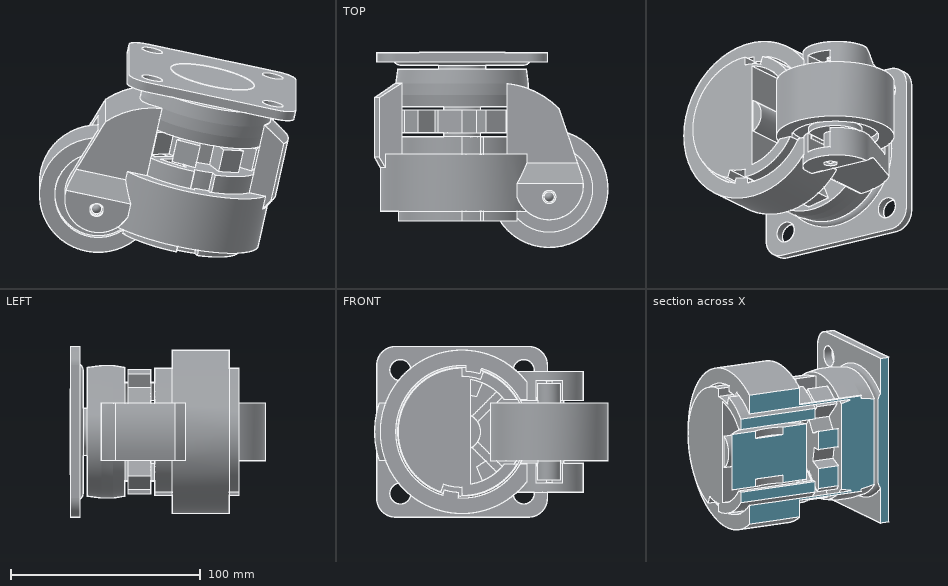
import cadquery as cq
import math


plate_side = 90.0
plate_corner = 10.1
plate_drop = 5.0
hole_spacing = 64.9
hole_diameter = 11.0
rivet_diameter = 45.0
rivet_height = 0.2
dish_radius = 35.7
dish_drop = 6.8
dish_flat_radius = 32.2

neck_radius = 12.48
drum_drops = (8.7, 16.4, 22.6, 28.6)
drum_radius = 34.9
drum_end_radius = 33.9

stem_radius = 9.7
stem_drop = 87.9
nut_top = 30.2
nut_bottom = 42.3
tooth_count = 8
tooth_tip_radius = 32.8
tooth_root_radius = 20.0

ring_top = 53.5
ring_bottom = 83.6
ring_radius = 43.0
ring_bore_radius = 34.9
key_inner_radius = 32.0
key_end_angle = 72.9
key_edge_offset = 2.0

foot_top = 44.3
foot_bottom = 88.8
foot_radius = 33.6
keyway_radius = 29.3
keyway_end_angle = 70.5
pocket_radius = 27.9
pocket_edge = 4.5
rib_width = 4.2
rib_height = 4.9
rib_angle = 45
wheel_gap = 33.9

bracket_width = 30.2
bracket_radius = 46.1
bracket_drops = (16.0, 23.7, 55.1, 60.6)

wheel_x = 45.9
wheel_drop = 71.7
wheel_radius = 31.0
wheel_width = 30.5
recess_diameter = 45.7
recess_depth = 4.0
hub_diameter = 28.4
hub_below_face = 0.7
axle_diameter = 12.0
axle_length = 50.7

arm_inner = 16.5
arm_upper_outer = 26.2
arm_lower_outer = 31.8
bevel_start = 58.0
bevel_end = 69.0
arm_left = 23.6
arm_top = 16.4
arm_arc_middle = (40.0, 21.3)
arm_shoulder = (51.1, 29.6)
arm_end_drop = 70.1
arm_end_radius = 18.0
web_bottom = 36.9
slot_width = 14.1
slot_ceiling = 27.0

screw_drop = 76.0
screw_hole_diameter = 7.0
screw_hole_depth = 3.0
screw_ball_radius = 2.7
screw_tip_diameter = 3.0
screw_tip_overlap = 1.2


def at_drop(drop):
    """Plane across the swivel axis, facing away from the plate (local x = X, local y = Z)."""
    return cq.Workplane("XZ").workplane(offset=drop)


def disc(radius, top, bottom):
    return at_drop(top).circle(radius).extrude(bottom - top)


def polar(radius, degrees):
    angle = math.radians(degrees)
    return (radius * math.cos(angle), radius * math.sin(angle))


def turned(points):
    """Solid of revolution about the swivel axis from (radius, drop) points."""
    outline = [(radius, -drop) for radius, drop in points]
    return cq.Workplane("XY").polyline(outline).close().revolve(360, (0, 0, 0), (0, 1, 0))


def half_turn_pair(shape):
    return shape.union(shape.rotate((0, 0, 0), (0, 1, 0), 180))


def sideways(x, drop, z):
    """Plane parallel to the wheel's faces, centred at the given place."""
    return cq.Workplane("XY", origin=(x, -drop, z))


def mounting_plate():
    plate = at_drop(0).rect(plate_side, plate_side).extrude(plate_drop).edges("|Y").fillet(plate_corner)
    plate = plate.union(disc(rivet_diameter / 2, -rivet_height, plate_drop))
    dish = (
        cq.Workplane("XY")
        .moveTo(0, -dish_drop)
        .lineTo(dish_flat_radius, -dish_drop)
        .tangentArcPoint((dish_radius, -plate_drop), relative=False)
        .lineTo(0, -plate_drop)
        .close()
        .revolve(360, (0, 0, 0), (0, 1, 0))
    )
    holes = at_drop(0).rect(hole_spacing, hole_spacing, forConstruction=True).vertices()
    holes = holes.circle(hole_diameter / 2).extrude(plate_drop)
    return plate.union(dish).cut(holes)


def swivel_drum():
    top, bulge_top, bulge_bottom, bottom = drum_drops
    drum = turned([
        (0, top),
        (drum_end_radius, top),
        (drum_radius, bulge_top),
        (drum_radius, bulge_bottom),
        (drum_end_radius, bottom),
        (0, bottom),
    ])
    return drum.union(disc(neck_radius, plate_drop, top))


def levelling_nut():
    pitch = 360 / tooth_count
    outline = []
    for tooth in range(tooth_count):
        start = tooth * pitch
        end = start + pitch / 2
        outline += [
            polar(tooth_root_radius, start),
            polar(tooth_tip_radius, start),
            polar(tooth_tip_radius, end),
            polar(tooth_root_radius, end),
        ]
    return at_drop(nut_top).polyline(outline).close().extrude(nut_bottom - nut_top)


def sector(start_points, end_angle, top, bottom):
    """Wedge between the edge through start_points and a radial edge at end_angle."""
    outline = start_points + [polar(2 * ring_radius, end_angle), (0, 0)]
    return at_drop(top).polyline(outline).close().extrude(bottom - top)


def wheel_opening(left):
    """Gap between the fork arms, from x = left outwards."""
    return at_drop(0).center(left + ring_radius, 0).rect(2 * ring_radius, wheel_gap).extrude(foot_bottom)


def housing_ring():
    ring = disc(ring_radius, ring_top, ring_bottom)
    bore = disc(ring_bore_radius, ring_top, ring_bottom)
    key_edge = [(key_edge_offset, 0), (key_edge_offset, 2 * ring_radius)]
    key = sector(key_edge, key_end_angle, ring_top, ring_bottom)
    key = key.intersect(bore.cut(disc(key_inner_radius, ring_top, ring_bottom)))
    return ring.cut(bore).cut(wheel_opening(0)).union(half_turn_pair(key))


def levelling_foot():
    foot = disc(foot_radius, foot_top, foot_bottom)
    keyway = sector([(0, 2 * ring_radius)], keyway_end_angle, foot_top, foot_bottom)
    keyway = keyway.cut(disc(keyway_radius, foot_top, foot_bottom))
    right_side = at_drop(foot_top).center(pocket_edge + ring_radius, 0)
    right_side = right_side.rect(2 * ring_radius, 2 * ring_radius).extrude(foot_bottom - foot_top)
    pocket = disc(pocket_radius, foot_top, foot_bottom).intersect(right_side)
    foot = foot.cut(half_turn_pair(keyway)).cut(pocket).cut(wheel_opening(pocket_edge))
    rib_length = (pocket_radius + foot_radius) / 2
    for angle in (rib_angle, -rib_angle):
        rib = at_drop(foot_top).center(rib_length / 2, 0).rect(rib_length, rib_width).extrude(rib_height)
        foot = foot.union(rib.rotate((0, 0, 0), (0, 1, 0), angle))
    return foot


def rear_bracket():
    top, rim_top, rim_bottom, bottom = bracket_drops
    shell = turned([
        (drum_radius, top),
        (bracket_radius, rim_top),
        (bracket_radius, rim_bottom),
        (ring_radius, bottom),
        (drum_radius, bottom),
    ])
    rear = at_drop(0).center(-ring_radius, 0).rect(2 * ring_radius, bracket_width).extrude(foot_bottom)
    return shell.intersect(rear)


def arm_outline(plane):
    """Side outline of a fork arm: domed top, sloping front edge tangent to a round end."""
    shoulder_x, shoulder_drop = arm_shoulder
    across = shoulder_x - wheel_x
    up = arm_end_drop - shoulder_drop
    reach = math.hypot(across, up)
    tangent_angle = math.degrees(math.atan2(up, across) - math.acos(arm_end_radius / reach))
    tangent_x, tangent_up = polar(arm_end_radius, tangent_angle)
    return (
        plane.moveTo(arm_left, -arm_top)
        .threePointArc((arm_arc_middle[0], -arm_arc_middle[1]), (shoulder_x, -shoulder_drop))
        .lineTo(wheel_x + tangent_x, tangent_up - arm_end_drop)
        .threePointArc(
            (wheel_x, -arm_end_drop - arm_end_radius),
            (wheel_x - arm_end_radius, -arm_end_drop),
        )
        .lineTo(arm_left, -arm_end_drop)
        .close()
    )


def fork():
    full = arm_outline(cq.Workplane("XY").workplane(offset=-arm_lower_outer)).extrude(2 * arm_lower_outer)
    lowest = arm_end_drop + arm_end_radius
    width_profile = [
        (-arm_top, arm_upper_outer),
        (-bevel_start, arm_upper_outer),
        (-bevel_end, arm_lower_outer),
        (-lowest, arm_lower_outer),
    ]
    width_profile += [(y, -z) for y, z in reversed(width_profile)]
    full = full.intersect(cq.Workplane("YZ").polyline(width_profile).close().extrude(2 * wheel_x))

    below_web = lowest - web_bottom
    wheel_space = at_drop(web_bottom).center(wheel_x, 0).rect(2 * wheel_x, 2 * arm_inner).extrude(below_web)
    axle_slot = at_drop(wheel_drop).center(wheel_x, 0).rect(slot_width, 2 * slot_ceiling)
    axle_slot = axle_slot.extrude(lowest - wheel_drop)
    return full.cut(wheel_space).cut(axle_slot).cut(disc(ring_bore_radius, arm_top, lowest))


def wheel_and_axle():
    wheel = sideways(wheel_x, wheel_drop, -wheel_width / 2).circle(wheel_radius).extrude(wheel_width)
    recess = (
        sideways(wheel_x, wheel_drop, wheel_width / 2 - recess_depth)
        .circle(recess_diameter / 2)
        .extrude(recess_depth)
    )
    wheel = wheel.cut(recess).cut(recess.mirror("XY"))
    hub_length = wheel_width - 2 * hub_below_face
    hub = sideways(wheel_x, wheel_drop, -hub_length / 2).circle(hub_diameter / 2).extrude(hub_length)
    axle = sideways(wheel_x, wheel_drop, -axle_length / 2).circle(axle_diameter / 2).extrude(axle_length)
    return wheel.union(hub).union(axle)


def add_set_screw(body, side):
    """Sunk ball-ended screw in one arm (side = 1 or -1); its tip bears on the axle."""
    floor = arm_lower_outer - screw_hole_depth
    hole = sideways(wheel_x, screw_drop, floor).circle(screw_hole_diameter / 2).extrude(screw_hole_depth)
    ball = sideways(wheel_x, screw_drop, floor).sphere(screw_ball_radius)
    tip_start = axle_length / 2 - screw_tip_overlap
    tip = sideways(wheel_x, screw_drop, tip_start).circle(screw_tip_diameter / 2).extrude(floor - tip_start)
    if side < 0:
        hole, ball, tip = hole.mirror("XY"), ball.mirror("XY"), tip.mirror("XY")
    return body.cut(hole).union(ball).union(tip)


result = mounting_plate()
for component in (
    swivel_drum(),
    disc(stem_radius, drum_drops[-1], stem_drop),
    levelling_nut(),
    levelling_foot(),
    housing_ring(),
    rear_bracket(),
    fork(),
    wheel_and_axle(),
):
    result = result.union(component)
for arm_side in (1, -1):
    result = add_set_screw(result, arm_side)